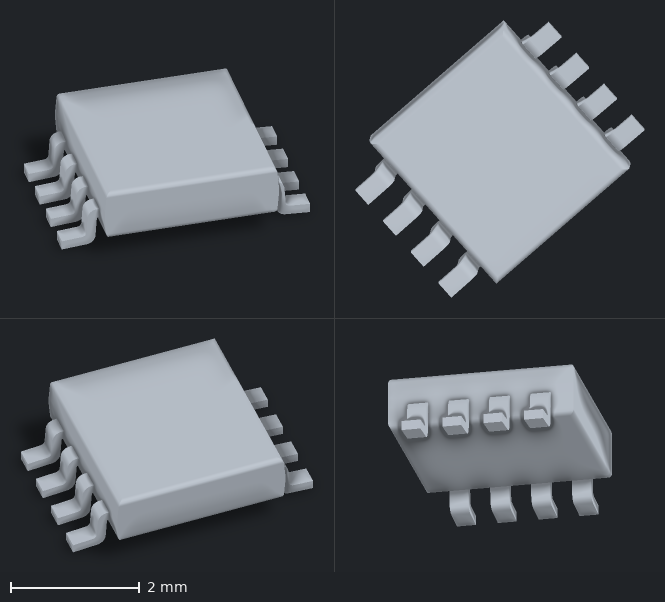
import cadquery as cq
import math

total_height = 1.16
lead_span = 4.0

housing_length = 2.95
housing_width = 2.8
housing_height = 0.85
band_height = 0.16
draft_angle = 5.0
side_rim_radius = 0.1
end_rim_radius = 0.085

leads_per_side = 4
lead_row_span = 1.95
lead_width = 0.3
lead_thickness = 0.15
lead_lean = 4.0
leg_top_y = 1.575
outer_bend_radius = 0.15
armpit_radius = 0.03
instep_radius = 0.07

tie_bar_width = 0.16
tie_bar_spacing = 0.97
pad_length = 1.76

housing_base = total_height - housing_height
housing_middle = housing_base + housing_height / 2
lead_top = housing_middle - band_height / 2
lead_bottom = lead_top - lead_thickness
lead_pitch = lead_row_span / (leads_per_side - 1)
half_width = housing_width / 2
draft_slope = math.tan(math.radians(draft_angle))


def make_housing(insert):
    """Housing block: a drafted cross-section crossed with a rectangular one, both with rounded corners,
    and hollowed to hold the insert."""
    taper_height = (housing_height - band_height) / 2
    inset_half_width = half_width - taper_height * draft_slope
    band_top = housing_middle + band_height / 2
    right_side = [
        (inset_half_width, housing_base),
        (half_width, lead_top),
        (half_width, band_top),
        (inset_half_width, total_height),
    ]
    left_side = [(-y, z) for y, z in reversed(right_side)]
    drafted = (
        cq.Workplane("YZ")
        .polyline(right_side + left_side)
        .close()
        .extrude(housing_length / 2, both=True)
        .edges("|X and (<Z or >Z)")
        .fillet(side_rim_radius)
    )
    rectangular = (
        cq.Workplane("XY")
        .box(housing_length, housing_width, housing_height)
        .edges("|Y")
        .fillet(end_rim_radius)
        .translate((0, 0, housing_middle))
    )
    return drafted.intersect(rectangular).cut(insert)


def make_lead(x, side):
    """One lead centred at x; side is +1 for the +Y row and -1 for the -Y row.

    Its upright inner end meets the housing at the lower edge of the band.
    """
    slope = math.tan(math.radians(lead_lean))
    slant_thickness = lead_thickness / math.cos(math.radians(lead_lean))
    tip_y = lead_span / 2

    def leg_foot_corner(leg_y, tip_z):
        """Where a leg face, at leg_y on the lead's top level, meets a foot face, at tip_z on the tip."""
        y = (leg_y + slope * (lead_top - tip_z - slope * tip_y)) / (1 - slope**2)
        return y, tip_z + slope * (tip_y - y)

    leg_inner_y = leg_top_y - slant_thickness
    shoulder = (leg_top_y, lead_top)
    instep = leg_foot_corner(leg_top_y, slant_thickness)
    heel = leg_foot_corner(leg_inner_y, 0)
    armpit = (leg_inner_y + slope * lead_thickness, lead_bottom)
    profile = [
        (half_width, lead_top),
        shoulder,
        instep,
        (tip_y, slant_thickness),
        (tip_y, 0),
        heel,
        armpit,
        (half_width, lead_bottom),
    ]
    lead = cq.Workplane("YZ").polyline(profile).close().extrude(lead_width / 2, both=True)
    bends = [
        (shoulder, outer_bend_radius),
        (heel, outer_bend_radius),
        (instep, instep_radius),
        (armpit, armpit_radius),
    ]
    for (y, z), radius in bends:
        lead = lead.edges(cq.selectors.NearestToPointSelector((0, y, z))).fillet(radius)
    if side < 0:
        lead = lead.mirror("XZ")
    return lead.translate((x, 0, 0))


def make_die_pad():
    """Plate level with the leads, carried by two tie bars that reach both ends of the housing."""
    middle_z = (lead_top + lead_bottom) / 2
    plate_width = tie_bar_spacing + tie_bar_width
    pad = cq.Workplane("XY").box(pad_length, plate_width, lead_thickness)
    for y in (-tie_bar_spacing / 2, tie_bar_spacing / 2):
        bar = cq.Workplane("XY").box(housing_length, tie_bar_width, lead_thickness)
        pad = pad.union(bar.translate((0, y, 0)))
    return pad.translate((0, 0, middle_z))


die_pad = make_die_pad()
housing = make_housing(die_pad)

leads = []
for side in (-1, 1):
    for index in range(leads_per_side):
        lead_x = (index - (leads_per_side - 1) / 2) * lead_pitch
        leads.append(make_lead(lead_x, side))

result = cq.Compound.makeCompound([housing.val(), die_pad.val(), *[lead.val() for lead in leads]])